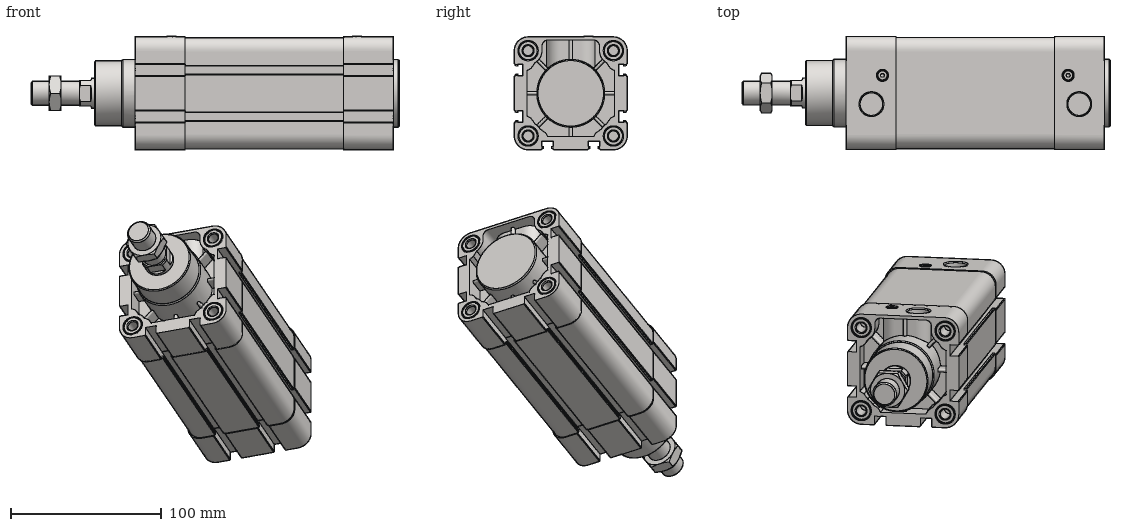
import cadquery as cq
import math


CAP_SIZE = 75.0
CAP_LENGTH = 33.0
CAP_CORNER_RADIUS = 9.5
BARREL_SIZE = 73.8
BARREL_LENGTH = 105.0
BARREL_CORNER_RADIUS = 9.5
HOUSING_LENGTH = BARREL_LENGTH + 2 * CAP_LENGTH

COLLAR_DIAMETER = 45.0
COLLAR_CHAMFER = 0.8
REAR_COLLAR_LENGTH = 4.0
FRONT_COLLAR_LENGTH = 9.0
NOSE_DIAMETER = 43.2
NOSE_END = 26.9
NOSE_CHAMFER = 0.7

SLOT_OFFSET = 15.4
CAP_SLOT_FLOOR = 31.5
BARREL_SLOT_FLOOR = 31.8
SLOT_WIDTH = 7.5
SLOT_EDGE_CHAMFER = 0.5
LIP_OPENING = 5.3
LIP_THICKNESS = 1.8

SCREW_SPACING = 56.5
SCREW_SEAT_DIAMETER = 13.5
SCREW_HEAD_DIAMETER = 12.0
SCREW_SEAT_DEPTH = 1.0
SCREW_BORE_DIAMETER = 6.65
SCREW_BORE_MOUTH = 8.0
SCREW_BORE_DEPTH = 16.0

POCKET_DEPTH = 15.0
POCKET_HALF_WIDTH = 29.0
POCKET_BOTTOM = -28.7
POCKET_TOP = 35.3
SCREW_POST_RADIUS = 9.2
POCKET_TOP_FILLET = 4.0

WEB_START = (POCKET_HALF_WIDTH, 15.0)
WEB_CORNER = (26.2, 16.6)
WEB_END = (23.5, 20.6)

RIB_WIDTH = 2.2
RIB_SETBACK = 5.0
RIB_COUNT = 8

PORT_SETBACK = 16.7
PORT_OFFSET = 7.3
PORT_DIAMETER = 14.95
PORT_MOUTH = 16.5
PORT_DEPTH = 12.0
BOSS_RADIUS = 8.9

CUSHION_SETBACK = 24.0
CUSHION_OFFSET = 11.75
CUSHION_HOLE_DIAMETER = 7.0
CUSHION_HOLE_MOUTH = 8.0
CUSHION_HOLE_DEPTH = 3.0
CUSHION_HEAD_DIAMETER = 6.0
CUSHION_HEAD_PROTRUSION = 0.3
CUSHION_SOCKET_WIDTH = 2.5
CUSHION_SOCKET_DEPTH = 2.0

ROD_TIP = 69.0
ROD_DIAMETER = 20.0
THREAD_DIAMETER = 16.0
THREAD_LENGTH = 32.0
THREAD_CHAMFER = 1.0
SHANK_CHAMFER = 0.8
FLATS_LENGTH = 7.5
FLATS_END_SLOPE = 65.0
FLATS_WIDTH = 17.0
NUT_SETBACK = 12.0
NUT_THICKNESS = 8.0
NUT_WIDTH = 23.0
NUT_CHAMFER_ANGLE = 30.0


def cylinder_x(diameter, x_start, x_end):
    return cq.Workplane("YZ", origin=(x_start, 0, 0)).circle(diameter / 2).extrude(x_end - x_start)


def hexagon_corners(width_across_flats):
    return width_across_flats / math.cos(math.pi / 6)


def square_bar(size, corner_radius, x_start, x_end):
    bar = cq.Workplane("YZ", origin=(x_start, 0, 0)).rect(size, size).extrude(x_end - x_start)
    return bar.edges("|X").fillet(corner_radius)


def slot_cutter(half_size, opening, floor, x_start, x_end):
    """Six slots for a square bar; an opening below SLOT_WIDTH leaves lips at the slot mouth."""
    half_opening = opening / 2
    half_width = SLOT_WIDTH / 2
    lip_floor = half_size - LIP_THICKNESS
    mouth_half = half_opening + SLOT_EDGE_CHAMFER
    chamfer_depth = half_size - SLOT_EDGE_CHAMFER
    right_side = [(mouth_half, -half_size), (half_opening, -chamfer_depth)]
    if half_opening < half_width:
        right_side += [(half_opening, -lip_floor), (half_width, -lip_floor)]
    right_side += [(half_width, -floor)]
    left_side = [(-y, z) for y, z in reversed(right_side)]
    slot = (
        cq.Workplane("YZ", origin=(x_start, 0, 0))
        .polyline(right_side + left_side)
        .close()
        .extrude(x_end - x_start)
    )
    cutter = cq.Workplane("YZ")
    for turn in (-90, 0, 90):
        for offset in (-SLOT_OFFSET, SLOT_OFFSET):
            cutter = cutter.add(slot.translate((0, offset, 0)).rotate((0, 0, 0), (1, 0, 0), turn))
    return cutter.combine()


def slot_webs():
    """Thickened walls around the six sensor slots, each leaning on a screw post."""
    outside = CAP_SIZE / 2
    web = (
        cq.Workplane("YZ")
        .moveTo(outside, WEB_START[1])
        .lineTo(*WEB_START)
        .lineTo(*WEB_CORNER)
        .lineTo(*WEB_END)
        .lineTo(outside, WEB_END[1])
        .close()
        .extrude(POCKET_DEPTH)
    )
    lower_web = web.mirror("XY")
    bottom_web = lower_web.rotate((0, 0, 0), (1, 0, 0), 90).mirror("XY")
    webs = []
    for single in (web, lower_web, bottom_web):
        webs += [single, single.mirror("XZ")]
    return webs


def pocket_core():
    """Pocket outline before the collar, ribs and boss are left standing in it."""
    height = POCKET_TOP - POCKET_BOTTOM
    core = (
        cq.Workplane("YZ")
        .center(0, (POCKET_TOP + POCKET_BOTTOM) / 2)
        .rect(2 * POCKET_HALF_WIDTH, height)
        .extrude(POCKET_DEPTH)
    )
    post_place = SCREW_SPACING / 2
    posts = (
        cq.Workplane("YZ")
        .rect(SCREW_SPACING, SCREW_SPACING, forConstruction=True)
        .vertices()
        .circle(SCREW_POST_RADIUS)
        .extrude(POCKET_DEPTH)
    )
    above_posts = (
        cq.Workplane("YZ", origin=(0, 0, post_place))
        .pushPoints([(-post_place, SCREW_POST_RADIUS), (post_place, SCREW_POST_RADIUS)])
        .rect(2 * SCREW_POST_RADIUS, 2 * SCREW_POST_RADIUS)
        .extrude(POCKET_DEPTH)
    )
    core = core.cut(posts).cut(above_posts)
    core = core.faces(">Z").edges("|X").fillet(POCKET_TOP_FILLET)
    for web in slot_webs():
        core = core.cut(web)
    return core


def ribs():
    """Round-crested ribs radiating from the collar."""
    shoulder = RIB_SETBACK + RIB_WIDTH / 2
    rib = (
        cq.Workplane("XY")
        .moveTo(POCKET_DEPTH, -RIB_WIDTH / 2)
        .lineTo(shoulder, -RIB_WIDTH / 2)
        .threePointArc((RIB_SETBACK, 0), (shoulder, RIB_WIDTH / 2))
        .lineTo(POCKET_DEPTH, RIB_WIDTH / 2)
        .close()
        .extrude(POCKET_TOP)
    )
    star = rib
    for index in range(1, RIB_COUNT):
        star = star.union(rib.rotate((0, 0, 0), (1, 0, 0), index * 360 / RIB_COUNT))
    return star


def port_boss():
    """Round-sided boss under the top wall, symmetric about the middle rib."""
    round_sides = (
        cq.Workplane("XY")
        .pushPoints([(PORT_SETBACK, -PORT_OFFSET), (PORT_SETBACK, PORT_OFFSET)])
        .circle(BOSS_RADIUS)
        .extrude(POCKET_TOP)
    )
    middle = (
        cq.Workplane("XY")
        .center(PORT_SETBACK, 0)
        .rect(2 * BOSS_RADIUS, 2 * PORT_OFFSET)
        .extrude(POCKET_TOP)
    )
    return middle.union(round_sides)


def countersink(bore_diameter, mouth_diameter):
    """45 degree cone from a mouth at z = 0 down to the bore; a zero bore gives a pointed tip."""
    depth = (mouth_diameter - bore_diameter) / 2
    cone = cq.Solid.makeCone(mouth_diameter / 2, bore_diameter / 2, depth, dir=cq.Vector(0, 0, -1))
    return cq.Workplane(cone)


def cut_port(cap):
    bore = cq.Workplane("XY").circle(PORT_DIAMETER / 2).extrude(-PORT_DEPTH)
    bore = bore.union(countersink(PORT_DIAMETER, PORT_MOUTH))
    return cap.cut(bore.translate((PORT_SETBACK, -PORT_OFFSET, CAP_SIZE / 2)))


def add_cushion_screw(cap):
    """Countersunk hole with a slightly proud hexagon-socket screw in it."""
    place = (CUSHION_SETBACK, CUSHION_OFFSET, CAP_SIZE / 2)
    hole = cq.Workplane("XY").circle(CUSHION_HOLE_DIAMETER / 2).extrude(-CUSHION_HOLE_DEPTH)
    hole = hole.union(countersink(CUSHION_HOLE_DIAMETER, CUSHION_HOLE_MOUTH))
    head_top = cq.Workplane("XY", origin=(0, 0, CUSHION_HEAD_PROTRUSION))
    head = head_top.circle(CUSHION_HEAD_DIAMETER / 2).extrude(-CUSHION_HEAD_PROTRUSION - CUSHION_HOLE_DEPTH)
    socket = head_top.polygon(6, hexagon_corners(CUSHION_SOCKET_WIDTH)).extrude(-CUSHION_SOCKET_DEPTH)
    tip_level = CUSHION_HEAD_PROTRUSION - CUSHION_SOCKET_DEPTH
    tip = countersink(0, CUSHION_SOCKET_WIDTH).translate((0, 0, tip_level))
    socket = socket.union(tip)
    return cap.cut(hole.translate(place)).union(head.cut(socket).translate(place))


def cut_corner_screws(cap):
    """Ring gap around each screw head and the threaded socket in its middle."""
    ring = (
        cq.Workplane("XY")
        .circle(SCREW_SEAT_DIAMETER / 2)
        .circle(SCREW_HEAD_DIAMETER / 2)
        .extrude(-SCREW_SEAT_DEPTH)
    )
    bore = cq.Workplane("XY").circle(SCREW_BORE_DIAMETER / 2).extrude(-SCREW_BORE_DEPTH)
    bore = bore.union(countersink(SCREW_BORE_DIAMETER, SCREW_BORE_MOUTH))
    half = SCREW_SPACING / 2
    for cutter in (ring, bore):
        facing_front = cutter.rotate((0, 0, 0), (0, 1, 0), -90)
        for y in (-half, half):
            for z in (-half, half):
                cap = cap.cut(facing_front.translate((0, y, z)))
    return cap


def make_cap():
    """Front cap; the rear one is its mirror image."""
    cap = square_bar(CAP_SIZE, CAP_CORNER_RADIUS, 0, CAP_LENGTH)
    cap = cap.cut(slot_cutter(CAP_SIZE / 2, SLOT_WIDTH, CAP_SLOT_FLOOR, 0, CAP_LENGTH))
    pocket = pocket_core()
    pocket = pocket.cut(cylinder_x(COLLAR_DIAMETER, 0, POCKET_DEPTH)).cut(ribs()).cut(port_boss())
    cap = cap.cut(pocket)
    cap = cut_corner_screws(cap)
    cap = cut_port(cap)
    return add_cushion_screw(cap)


def make_housing():
    """Caps, barrel, collars and nose in one piece, with a blind bore for the rod."""
    barrel_end = HOUSING_LENGTH - CAP_LENGTH
    barrel = square_bar(BARREL_SIZE, BARREL_CORNER_RADIUS, CAP_LENGTH, barrel_end)
    slots = slot_cutter(BARREL_SIZE / 2, LIP_OPENING, BARREL_SLOT_FLOOR, CAP_LENGTH, barrel_end)
    barrel = barrel.cut(slots)
    front_cap = make_cap()
    rear_cap = front_cap.mirror("YZ").translate((HOUSING_LENGTH, 0, 0))
    front_collar = cylinder_x(COLLAR_DIAMETER, -FRONT_COLLAR_LENGTH, 0).faces("<X").chamfer(COLLAR_CHAMFER)
    nose = cylinder_x(NOSE_DIAMETER, -NOSE_END, 0).faces("<X").chamfer(NOSE_CHAMFER)
    rear_collar = cylinder_x(COLLAR_DIAMETER, HOUSING_LENGTH, HOUSING_LENGTH + REAR_COLLAR_LENGTH)
    rear_collar = rear_collar.faces(">X").chamfer(COLLAR_CHAMFER)
    body = barrel.union(front_cap).union(rear_cap).union(front_collar).union(nose).union(rear_collar)
    return body.cut(cylinder_x(ROD_DIAMETER, -NOSE_END, CAP_LENGTH))


def make_nut():
    """Hexagon with flats at top and bottom and both rims turned to a shallow cone."""
    start = -ROD_TIP + NUT_SETBACK
    corner_diameter = hexagon_corners(NUT_WIDTH)
    hexagon = (
        cq.Workplane("YZ", origin=(start, 0, 0)).polygon(6, corner_diameter).extrude(NUT_THICKNESS)
    )
    rim_width = (corner_diameter - NUT_WIDTH) / 2
    rim_depth = rim_width * math.tan(math.radians(NUT_CHAMFER_ANGLE))
    envelope = cylinder_x(corner_diameter, start, start + NUT_THICKNESS)
    envelope = envelope.faces("<X or >X").chamfer(rim_depth, rim_width)
    return hexagon.intersect(envelope)


def make_rod():
    """Rod with a thread, four wrench flats and its lock nut."""
    thread_end = -ROD_TIP + THREAD_LENGTH
    thread = cylinder_x(THREAD_DIAMETER, -ROD_TIP, thread_end).faces("<X").chamfer(THREAD_CHAMFER)
    shank = cylinder_x(ROD_DIAMETER, thread_end, CAP_LENGTH)
    shank = shank.faces("<X").chamfer(SHANK_CHAMFER)
    flats_end = thread_end + FLATS_LENGTH
    flat_height = FLATS_WIDTH / 2
    end_run = (ROD_DIAMETER - flat_height) / math.tan(math.radians(FLATS_END_SLOPE))
    flat = (
        cq.Workplane("XZ")
        .moveTo(thread_end, flat_height)
        .lineTo(flats_end, flat_height)
        .lineTo(flats_end + end_run, ROD_DIAMETER)
        .lineTo(thread_end, ROD_DIAMETER)
        .close()
        .extrude(ROD_DIAMETER / 2, both=True)
    )
    for turn in (0, 90, 180, 270):
        shank = shank.cut(flat.rotate((0, 0, 0), (1, 0, 0), turn))
    return thread.union(shank).union(make_nut())


housing = make_housing()
rod = make_rod()
result = cq.Compound.makeCompound([housing.val(), rod.val()])